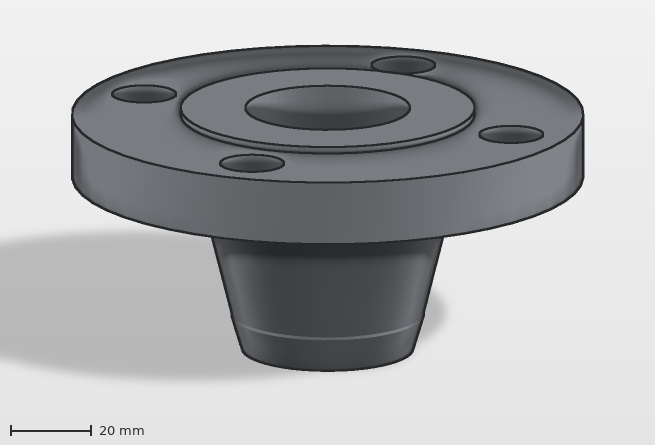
import cadquery as cq

flange_diameter = 127.0
total_height = 61.8
face_diameter = 73.0
face_height = 1.7
flange_thickness = 15.9

bore_diameter = 40.9
bolt_hole_diameter = 15.9
bolt_circle_diameter = 98.5
bolt_count = 4

hub_fillet_height = 5.0
fillet_outer_diameter = 73.0
hub_top_diameter = 62.7
land_diameter = 47.8
land_height = 0.8
bevel_height = 8.5
tip_diameter = 42.7

flange_top = total_height - face_height
flange_bottom = flange_top - flange_thickness
fillet_bottom = flange_bottom - hub_fillet_height
land_bottom = bevel_height
land_top = land_bottom + land_height


def make_body():
    """Revolve the half section of the unbored flange about Z."""
    section = (
        cq.Workplane("XZ")
        .lineTo(tip_diameter / 2, 0)
        .lineTo(land_diameter / 2, land_bottom)
        .lineTo(land_diameter / 2, land_top)
        .lineTo(hub_top_diameter / 2, fillet_bottom)
        .tangentArcPoint((fillet_outer_diameter / 2, flange_bottom), relative=False)
        .lineTo(flange_diameter / 2, flange_bottom)
        .lineTo(flange_diameter / 2, flange_top)
        .lineTo(face_diameter / 2, flange_top)
        .lineTo(face_diameter / 2, total_height)
        .lineTo(0, total_height)
        .close()
    )
    return section.revolve(360, (0, 0, 0), (0, 1, 0))


def make_bore():
    return cq.Workplane("XY").circle(bore_diameter / 2).extrude(total_height)


def make_bolt_holes():
    return (
        cq.Workplane("XY")
        .workplane(offset=flange_bottom)
        .polarArray(bolt_circle_diameter / 2, 0, 360, bolt_count)
        .circle(bolt_hole_diameter / 2)
        .extrude(flange_thickness)
    )


result = make_body().cut(make_bore()).cut(make_bolt_holes())